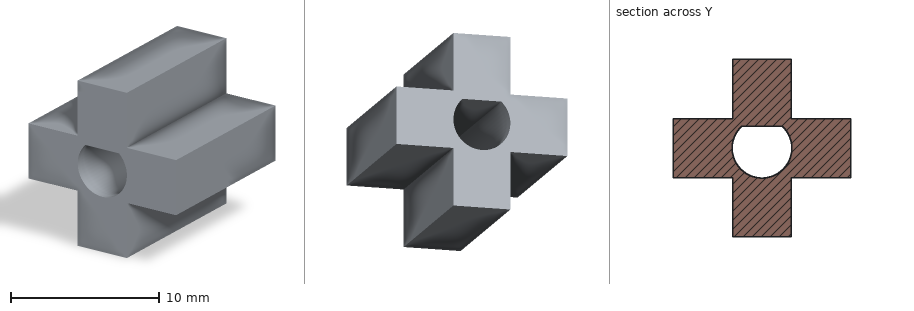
import cadquery as cq

span = 12.0
length = 12.0
arm_width = 4.0
bore_diameter = 4.0
flat_height = 1.46

bore_radius = bore_diameter / 2


def make_cross():
    """Two crossed bars centred on the Y axis."""
    horizontal_bar = cq.Workplane("XY").box(span, length, arm_width)
    vertical_bar = cq.Workplane("XY").box(arm_width, length, span)
    return horizontal_bar.union(vertical_bar)


def make_d_bore():
    """D-shaped through bore along Y, with its flat on the +Z side."""
    cylinder = cq.Workplane("XZ").circle(bore_radius).extrude(length / 2, both=True)
    envelope_height = bore_radius + flat_height
    envelope = (
        cq.Workplane("XY")
        .box(bore_diameter, length, envelope_height)
        .translate((0, 0, flat_height - envelope_height / 2))
    )
    return cylinder.intersect(envelope)


result = make_cross().cut(make_d_bore())